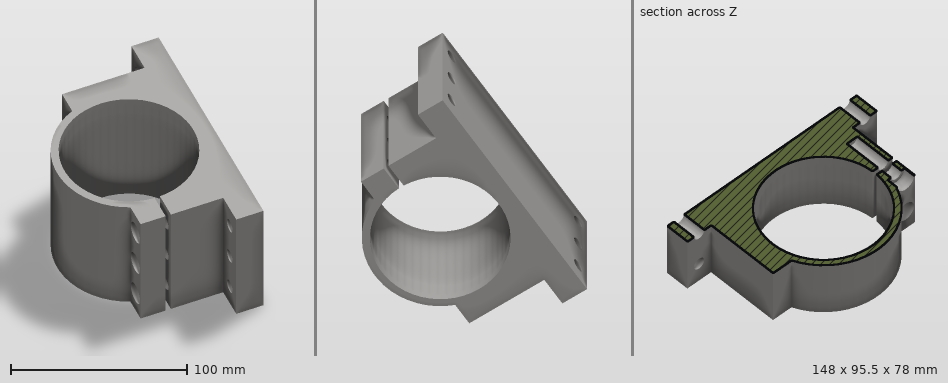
import cadquery as cq

flange_width = 148.0
flange_thickness = 16.9
height = 78.0

block_width = 111.0
block_depth = 68.1
total_depth = 95.5
shell_radius = 44.5
bore_radius = 40.0
bore_y = shell_radius - total_depth
slit_width = 3.3

hole_diameter = 8.0
hole_pitch = 25.0
mounting_hole_x = 64.8
clamp_screw_x = 48.2
counterbore_diameter = 13.0
counterbore_depth = 8.0
screw_depth = 44.4

row_heights = [height / 2 + row * hole_pitch for row in (-1, 0, 1)]


def back_box(width, depth):
    """Full-height box centred on x, reaching forward from the back face."""
    box = cq.Workplane("XY").box(width, depth, height, centered=(True, False, False))
    return box.translate((0, -depth, 0))


def upright_cylinder(radius):
    """Full-height cylinder on the clamp axis."""
    return cq.Workplane("XY").center(0, bore_y).circle(radius).extrude(height)


def hole_row(x, front_y, diameter, depth):
    """Column of holes drilled backward (+Y) from the given front face."""
    points = [(x, z) for z in row_heights]
    plane = cq.Workplane("XZ", origin=(0, front_y, 0))
    return plane.pushPoints(points).circle(diameter / 2).extrude(-depth)


body = back_box(flange_width, flange_thickness)
body = body.union(back_box(block_width, block_depth))
body = body.union(upright_cylinder(shell_radius))
body = body.cut(upright_cylinder(bore_radius))

slit_length = block_width / 2
slit = cq.Workplane("XY").box(slit_length, slit_width, height, centered=(False, True, False))
body = body.cut(slit.translate((0, bore_y, 0)))

for x in (-mounting_hole_x, mounting_hole_x):
    body = body.cut(hole_row(x, -flange_thickness, hole_diameter, flange_thickness))

body = body.cut(hole_row(clamp_screw_x, -block_depth, hole_diameter, screw_depth))
body = body.cut(hole_row(clamp_screw_x, -block_depth, counterbore_diameter, counterbore_depth))

result = body